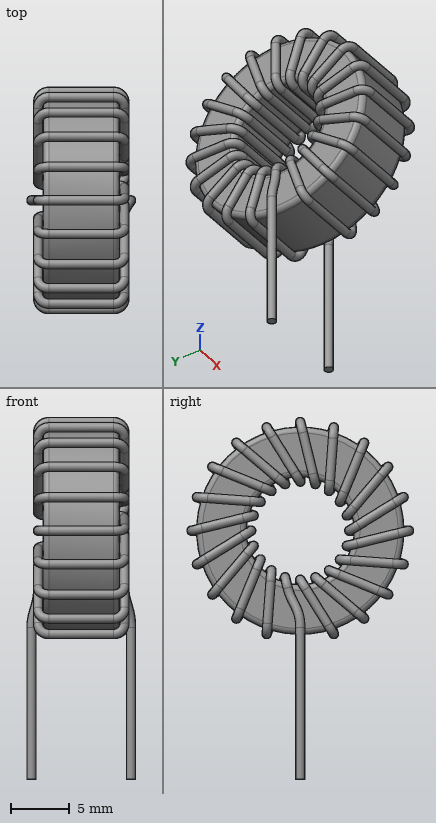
import cadquery as cq
import math


core_diameter = 17.7
core_bore = 9.2
core_width = 6.5
core_edge_radius = 0.5

wire_diameter = 0.8
wire_clearance = 0.015
wire_offset = wire_diameter / 2 + wire_clearance
bend_radius = core_edge_radius + wire_offset
outer_radius = core_diameter / 2 + wire_offset
inner_radius = core_bore / 2 - wire_offset
face_x = core_width / 2 + wire_offset

places = 20
pitch_angle = 360 / places

lead_span = 8.5
lead_top_z = -8.25
total_height = 30.87
lead_bottom_z = outer_radius + wire_diameter / 2 - total_height


def ring_point(x, radius, place):
    """Point at a numbered place around the ring; place 0 is the lowest and the count runs towards +Y."""
    angle = math.radians(place * pitch_angle)
    return cq.Vector(x, radius * math.sin(angle), -radius * math.cos(angle))


def make_core():
    profile = cq.Workplane("YZ", origin=(-core_width / 2, 0, 0)).circle(core_diameter / 2).circle(core_bore / 2)
    return profile.extrude(core_width).edges("%CIRCLE").fillet(core_edge_radius)


def winding_corners():
    """Sharp corners of the wound centre line, from the -X lead's place around the ring to the +X lead's."""
    corners = [ring_point(-face_x, outer_radius, 0)]
    for place in range(places):
        corners.append(ring_point(-face_x, inner_radius, place))
        corners.append(ring_point(face_x, inner_radius, place))
        corners.append(ring_point(face_x, outer_radius, place + 1))
        corners.append(ring_point(-face_x, outer_radius, place + 1))
    return corners[:-1]


def bend_edge(before, corner, after):
    """Arc of the bend radius that rounds one corner of the centre line."""
    toward_before = (before - corner).normalized()
    toward_after = (after - corner).normalized()
    half_angle = toward_before.getAngle(toward_after) / 2
    tangent_length = bend_radius / math.tan(half_angle)
    to_centre = (toward_before + toward_after).normalized()
    to_middle = bend_radius / math.sin(half_angle) - bend_radius
    return cq.Edge.makeThreePointArc(
        corner + toward_before * tangent_length,
        corner + to_centre * to_middle,
        corner + toward_after * tangent_length,
    )


def winding_path():
    corners = winding_corners()
    bends = [bend_edge(*trio) for trio in zip(corners, corners[1:], corners[2:])]

    up = cq.Vector(0, 0, 1)
    first_lead_tip = cq.Vector(-lead_span / 2, 0, lead_bottom_z)
    first_lead_top = cq.Vector(-lead_span / 2, 0, lead_top_z)
    last_lead_top = cq.Vector(lead_span / 2, 0, lead_top_z)
    last_lead_tip = cq.Vector(lead_span / 2, 0, lead_bottom_z)
    winding_start = bends[0].startPoint()
    winding_end = bends[-1].endPoint()
    start_direction = (corners[1] - corners[0]).normalized()
    end_direction = (corners[-1] - corners[-2]).normalized()

    edges = [
        cq.Edge.makeLine(first_lead_tip, first_lead_top),
        cq.Edge.makeSpline([first_lead_top, winding_start], tangents=[up, start_direction]),
        bends[0],
    ]
    for previous_bend, bend in zip(bends, bends[1:]):
        edges.append(cq.Edge.makeLine(previous_bend.endPoint(), bend.startPoint()))
        edges.append(bend)
    edges.append(cq.Edge.makeSpline([winding_end, last_lead_top], tangents=[end_direction, -up]))
    edges.append(cq.Edge.makeLine(last_lead_top, last_lead_tip))
    return cq.Wire.assembleEdges(edges)


def make_winding():
    lead_tip = cq.Workplane("XY", origin=(-lead_span / 2, 0, lead_bottom_z))
    return lead_tip.circle(wire_diameter / 2).sweep(winding_path())


core = make_core()
winding = make_winding()

result = cq.Compound.makeCompound([core.val(), winding.val()])